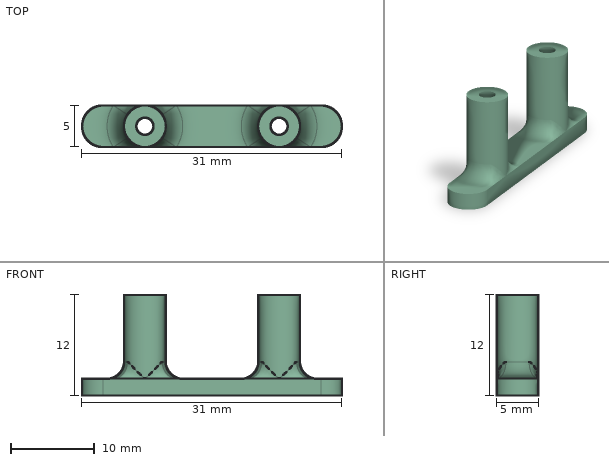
import cadquery as cq
import math

length = 31.0
width = 5.0
height = 12.0
plate_thickness = 2.0
post_spacing = 16.0
bore_diameter = 2.0
fillet_radius = 2.0

post_radius = width / 2
post_centres = [(-post_spacing / 2, 0), (post_spacing / 2, 0)]

full_fillet_angle = math.degrees(math.asin(post_radius / (post_radius + fillet_radius)))

taper_end_angle = 88.0
taper_sections = 7

section_inner_radius = post_radius / 2


def fillet_section(angle):
    """Closed fillet profile in the vertical plane through the post axis at this angle.

    Its toe stays on the plate's top face, no farther out than the long edge.
    The arc keeps its radius and stays tangent to the post, so its top drops as the toe nears the post.
    """
    toe_radius = min(post_radius / math.sin(math.radians(angle)), post_radius + fillet_radius)
    reach = toe_radius - post_radius
    rise = math.sqrt(2 * fillet_radius * reach - reach**2)
    half_sweep = math.atan2(rise, fillet_radius - reach) / 2
    arc_middle = (
        post_radius + fillet_radius * (1 - math.cos(half_sweep)),
        rise - fillet_radius * math.sin(half_sweep),
    )
    direction = (math.cos(math.radians(angle)), math.sin(math.radians(angle)), 0)
    normal = (direction[1], -direction[0], 0)
    plane = cq.Plane(origin=(0, 0, plate_thickness), xDir=direction, normal=normal)
    return (
        cq.Workplane(plane)
        .moveTo(section_inner_radius, 0)
        .lineTo(toe_radius, 0)
        .threePointArc(arc_middle, (post_radius, rise))
        .lineTo(section_inner_radius, rise)
        .close()
    )


def make_full_fillet():
    """Constant fillet facing +X, between the two long edges of the plate."""
    return fillet_section(full_fillet_angle).revolve(2 * full_fillet_angle, (0, 0), (0, -1))


def make_tapered_fillet():
    """Fillet running out along the +Y edge of the plate, on the +X side of the post."""
    step = (taper_end_angle - full_fillet_angle) / (taper_sections - 1)
    sections = [fillet_section(full_fillet_angle + i * step).val() for i in range(taper_sections)]
    return cq.Workplane(cq.Solid.makeLoft(sections))


def make_post():
    """Post on the Z axis with its fillet on both sides."""
    post = cq.Workplane("XY").circle(post_radius).extrude(height)
    full_fillet = make_full_fillet()
    taper = make_tapered_fillet()
    for half_turn in (0, 180):
        post = post.union(full_fillet.rotate((0, 0, 0), (0, 0, 1), half_turn))
        for corner in (taper, taper.mirror("XZ")):
            post = post.union(corner.rotate((0, 0, 0), (0, 0, 1), half_turn))
    return post


plate = cq.Workplane("XY").slot2D(length, width).extrude(plate_thickness)

post = make_post()
body = plate
for x, y in post_centres:
    body = body.union(post.translate((x, y, 0)))

bores = cq.Workplane("XY").pushPoints(post_centres).circle(bore_diameter / 2).extrude(height)
result = body.cut(bores)